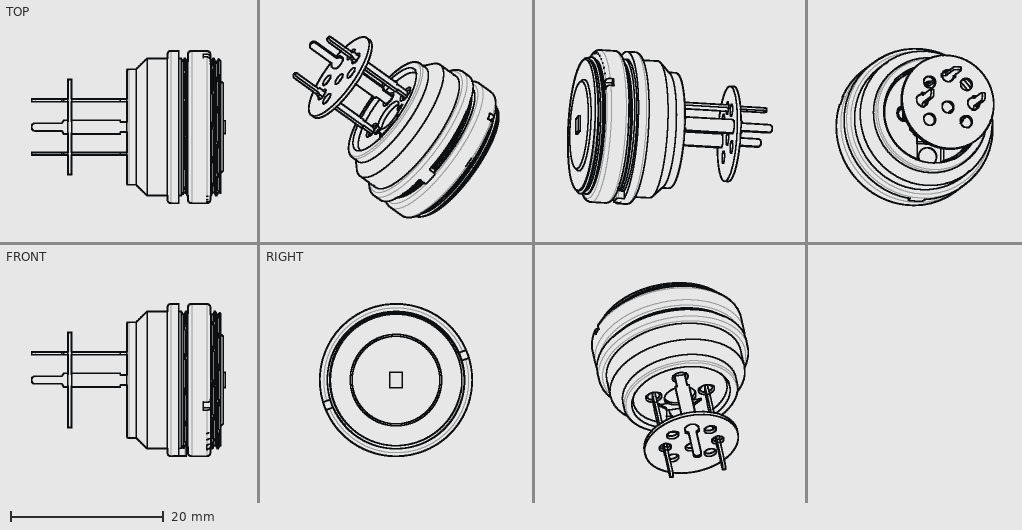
import cadquery as cq
import math


RIM_DIA = 15.2
RIM_ROUND = 0.2
RIM_END = 1.2
BODY_DIA = 18.0
CONE_END = 2.63
FLANGE_DIA = 20.0
FLANGE_START = 5.3
FLANGE_END = 6.8
FLANGE_ROUND = 0.45
BORE_DIA = 13.1
BORE_DEPTH = 2.0

THREAD_ROOT_DIA = 17.2
THREAD_CREST_DIA = 18.0
THREAD_PITCH = 0.75
THREAD_CREST_X = 11.52
RUNOUT_START = 7.1
RUNOUT_END = 7.35
SHELL_END = 12.3
CREST_FLAT = 0.1
RIDGE_ROOT_WIDTH = 0.6
RIDGE_OVERLAP = 0.1
THREAD_ENGAGEMENT = 0.3
THREAD_END_CHAMFER = 0.4
THREAD_CLEARANCE = 0.1

NOSE_BASE_DIA = 12.0
NOSE_TIP_DIA = 11.5
NOSE_END = 12.63
KEY_END = 12.9
KEY_WIDTH = 1.7
KEY_HEIGHT = 2.0

NUT_START = 7.97
NUT_END = 10.95
NUT_ROUND = 0.5
NUT_SLOT_WIDTH = 1.1
NUT_SLOT_LENGTH = 0.95
NUT_SLOT_DEPTH = 1.0
NUT_SLOT_ANGLE = 20.0

LUG_LENGTH = 1.0
LUG_WIDTH = 2.0
LUG_ROUND = 0.2

INSERT_DIA = 12.5
INSERT_FACE = 0.65
TAB_WIDTH = 3.0
CENTRE_RECESS_DIA = 4.2
CENTRE_RECESS_DEPTH = 0.6
CENTRE_Z = -0.7

CONTACT_CIRCLE_RADIUS = 3.5
CONTACT_ANGLES = (0, 90, 180)
CONTACT_DIA = 1.6
CONTACT_FACE = 0.85
POCKET_DIA = 2.1
POCKET_END = 1.5

KEYWAY_HEAD_DEPTH = 0.25
KEYWAY_HALF_WIDTH = 1.8
KEYWAY_HEAD_HALF_WIDTH = 2.78
KEYWAY_NECK_Z = -3.03
KEYWAY_TOP_Z = -1.8
KEYWAY_SLOT_Z = -3.6
STUD_DIA = 2.4
STUD_Z = -5.3

TERMINAL_TIP = -12.5
TERMINAL_THICKNESS = 0.38
TIP_WIDTH = 1.03
TIP_ROUND = 0.45
BLADE_WIDTH = 1.82
NECK_WIDTH = 1.35
TAPER_START = -8.52
TAPER_END = -8.3
BLADE_END = -0.85

DISC_DIA = 12.5
DISC_START = -7.75
DISC_THICKNESS = 0.5
DISC_HOLE_DIA = 1.6
DISC_HOLE_OFFSET = 2.5


def cylinder(diameter, start, end, y=0.0, z=0.0):
    """Cylinder along X between two stations."""
    return cq.Workplane("YZ", origin=(start, y, z)).circle(diameter / 2).extrude(end - start)


def block(start, end, width, bottom, top):
    """Block centred on Y between two X stations and two heights."""
    size = (end - start, width, top - bottom)
    return cq.Workplane("XY").box(*size, centered=(False, True, False)).translate((start, 0, bottom))


def about_axis(shape, angle):
    return shape.rotate((0, 0, 0), (1, 0, 0), angle)


def make_shell():
    profile = [
        (0, 0),
        (0, RIM_DIA / 2),
        (RIM_END, RIM_DIA / 2),
        (CONE_END, BODY_DIA / 2),
        (RUNOUT_START, BODY_DIA / 2),
        (RUNOUT_END, THREAD_ROOT_DIA / 2),
        (SHELL_END, THREAD_ROOT_DIA / 2),
        (SHELL_END, NOSE_BASE_DIA / 2),
        (NOSE_END, NOSE_TIP_DIA / 2),
        (NOSE_END, 0),
    ]
    shell = cq.Workplane("XY").polyline(profile).close().revolve(360, (0, 0, 0), (1, 0, 0))
    shell = shell.faces("<X").edges().fillet(RIM_ROUND)
    flange = cylinder(FLANGE_DIA, FLANGE_START, FLANGE_END).faces("<X").edges().fillet(FLANGE_ROUND)
    return shell.union(flange).cut(cylinder(BORE_DIA, 0, BORE_DEPTH))


def make_thread(start, end):
    """Right-handed helical ridge on the core, trimmed to the stretch between two X stations."""
    crests_before = math.ceil((THREAD_CREST_X - start) / THREAD_PITCH)
    first_crest = THREAD_CREST_X - (crests_before + 1) * THREAD_PITCH
    length = end + THREAD_PITCH - first_crest
    foot = THREAD_ROOT_DIA / 2 - RIDGE_OVERLAP
    crest = THREAD_CREST_DIA / 2
    section = [
        (foot, -RIDGE_ROOT_WIDTH / 2),
        (crest, -CREST_FLAT / 2),
        (crest, CREST_FLAT / 2),
        (foot, RIDGE_ROOT_WIDTH / 2),
    ]
    edges = [cq.Wire.makeHelix(THREAD_PITCH, length, radius).moved(cq.Location(cq.Vector(0, 0, shift)))
             for radius, shift in section]
    flanks = [cq.Face.makeRuledSurface(edges[i - 1], edges[i]) for i in range(len(edges))]
    caps = []
    for turn, height in ((0, 0), (360 * length / THREAD_PITCH, length)):
        corners = [cq.Vector(radius, 0, shift + height) for radius, shift in section]
        cap = cq.Face.makeFromWires(cq.Wire.makePolygon(corners, close=True))
        caps.append(cap.rotate(cq.Vector(0, 0, 0), cq.Vector(0, 0, 1), turn))
    ridge = cq.Workplane(obj=cq.Solid.makeSolid(cq.Shell.makeShell(flanks + caps)))
    ridge = ridge.rotate((0, 0, 0), (0, 1, 0), 90)
    ridge = about_axis(ridge, 180).translate((first_crest, 0, 0))
    envelope = cylinder(THREAD_CREST_DIA + THREAD_CLEARANCE, start, end)
    return ridge.intersect(envelope.faces(">X").chamfer(THREAD_END_CHAMFER))


def make_nut():
    nut = cylinder(FLANGE_DIA, NUT_START, NUT_END).edges().fillet(NUT_ROUND)
    nut = nut.cut(cylinder(THREAD_ROOT_DIA - 2 * RIDGE_OVERLAP, NUT_START, NUT_END))
    radius = FLANGE_DIA / 2
    slot = block(NUT_END - NUT_SLOT_LENGTH, NUT_END, NUT_SLOT_WIDTH, radius - NUT_SLOT_DEPTH, radius)
    for angle in (NUT_SLOT_ANGLE - 90, NUT_SLOT_ANGLE + 90):
        nut = nut.cut(about_axis(slot, angle))
    return nut


def make_lug():
    lug = block(FLANGE_END, FLANGE_END + LUG_LENGTH, LUG_WIDTH, -FLANGE_DIA / 2, -THREAD_ROOT_DIA / 2)
    lug = lug.faces(">X").edges("|Z").fillet(LUG_ROUND)
    return lug.intersect(cylinder(FLANGE_DIA, FLANGE_END, FLANGE_END + LUG_LENGTH))


def make_insert():
    insert = cylinder(INSERT_DIA, INSERT_FACE, BORE_DEPTH)
    tab = block(INSERT_FACE, BORE_DEPTH, TAB_WIDTH, 0, BORE_DIA)
    insert = insert.union(tab.intersect(cylinder(BORE_DIA, INSERT_FACE, BORE_DEPTH)))
    recess = cylinder(CENTRE_RECESS_DIA, INSERT_FACE, INSERT_FACE + CENTRE_RECESS_DEPTH, 0, CENTRE_Z)
    slot = block(INSERT_FACE, BORE_DEPTH, 2 * KEYWAY_HALF_WIDTH, -BORE_DIA / 2, KEYWAY_SLOT_Z)
    stud = cq.Workplane("XY").sphere(STUD_DIA / 2).translate((BORE_DEPTH, 0, STUD_Z))
    return insert.cut(recess).cut(make_keyway_head()).cut(slot).union(stud)


def make_keyway_head():
    """Cutter for the shallow part of the keyway, flared at 45 degrees to its wider top."""
    half = [
        (KEYWAY_HALF_WIDTH, -BORE_DIA / 2),
        (KEYWAY_HALF_WIDTH, KEYWAY_NECK_Z),
        (KEYWAY_HEAD_HALF_WIDTH, KEYWAY_NECK_Z + KEYWAY_HEAD_HALF_WIDTH - KEYWAY_HALF_WIDTH),
        (KEYWAY_HEAD_HALF_WIDTH, KEYWAY_TOP_Z),
    ]
    mirrored = [(-y, z) for y, z in reversed(half)]
    outline = cq.Workplane("YZ", origin=(INSERT_FACE, 0, 0)).polyline(half + mirrored).close()
    return outline.extrude(KEYWAY_HEAD_DEPTH)


def make_terminal():
    """Flat terminal lying in the XY plane at the top contact position."""
    half = [
        (TERMINAL_TIP, TIP_WIDTH / 2),
        (TAPER_START, TIP_WIDTH / 2),
        (TAPER_END, BLADE_WIDTH / 2),
        (BLADE_END, BLADE_WIDTH / 2),
        (BLADE_END, NECK_WIDTH / 2),
        (POCKET_END, NECK_WIDTH / 2),
    ]
    mirrored = [(x, -y) for x, y in reversed(half)]
    plane = cq.Workplane("XY", origin=(0, 0, CONTACT_CIRCLE_RADIUS - TERMINAL_THICKNESS / 2))
    blank = plane.polyline(half + mirrored).close().extrude(TERMINAL_THICKNESS)
    return blank.faces("<X").edges("|Z").fillet(TIP_ROUND)


def make_disc():
    disc_end = DISC_START + DISC_THICKNESS
    disc = cylinder(DISC_DIA, DISC_START, disc_end)
    offsets = (-DISC_HOLE_OFFSET, DISC_HOLE_OFFSET)
    centres = [(y, z) for y in offsets for z in offsets]
    centres.append((0, CENTRE_Z))
    for angle in CONTACT_ANGLES:
        radians = math.radians(angle)
        y = CONTACT_CIRCLE_RADIUS * math.cos(radians)
        z = CONTACT_CIRCLE_RADIUS * math.sin(radians)
        centres.append((y, z))
    for y, z in centres:
        disc = disc.cut(cylinder(DISC_HOLE_DIA, DISC_START, disc_end, y, z))
    return disc


def make_key():
    """Key standing out of the front face."""
    return block(NOSE_END, KEY_END, KEY_WIDTH, -KEY_HEIGHT / 2, KEY_HEIGHT / 2)


def add_contacts(body):
    """Cut the contact pockets and fit each with a contact and its terminal."""
    pocket = cylinder(POCKET_DIA, INSERT_FACE, POCKET_END, 0, CONTACT_CIRCLE_RADIUS)
    contact = cylinder(CONTACT_DIA, CONTACT_FACE, POCKET_END, 0, CONTACT_CIRCLE_RADIUS)
    terminal = make_terminal().union(contact)
    for angle in CONTACT_ANGLES:
        turn = angle - 90
        body = body.cut(about_axis(pocket, turn)).union(about_axis(terminal, turn))
    return body


part = make_shell().union(make_insert())
part = part.union(make_thread(RUNOUT_END, NUT_START + THREAD_ENGAGEMENT))
part = part.union(make_thread(NUT_END - THREAD_ENGAGEMENT, SHELL_END))
part = part.union(make_nut()).union(make_lug()).union(make_key())
part = add_contacts(part)
result = part.union(make_disc())